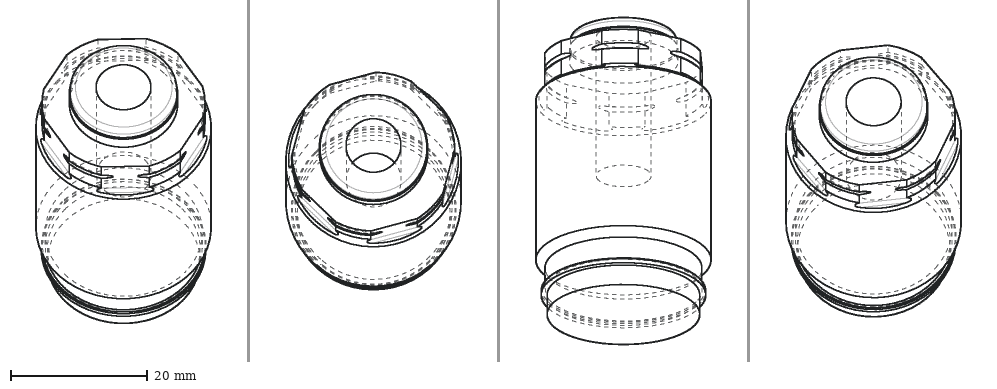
import cadquery as cq

total_height = 44.3
body_radius = 12.875

spigot_radius = 11.2
neck_radius = 11.52
ring_radius = 12.1
ring_bottom = 3.1
ring_top = 3.95
ring_edge_chamfer = 0.18
neck_top = 7.45
body_bottom = 8.7

body_top = 34.1
collar_bottom = 35.0
collar_top = 40.38
collar_radius = 11.95
flat_distance = 11.45
flat_count = 6
nozzle_radius = 7.98
nozzle_tip_radius = 7.85
nozzle_taper_bottom = 42.4
nozzle_taper_top = 42.65
nozzle_round = 0.75
bore_radius = 4.05
bore_depth = 22.15

seat_height = 34.53
seat_fillet = 0.5
groove_height = 37.85
groove_radius = 0.4


def turned_body():
    """Solid of revolution, profile given as (radius, height)."""
    profile = (
        cq.Workplane("XZ")
        .moveTo(0, 0)
        .lineTo(spigot_radius, 0)
        .lineTo(spigot_radius, ring_bottom)
        .lineTo(ring_radius, ring_bottom)
        .lineTo(ring_radius, ring_top - ring_edge_chamfer)
        .lineTo(ring_radius - ring_edge_chamfer, ring_top)
        .lineTo(neck_radius, ring_top)
        .lineTo(neck_radius, neck_top)
        .lineTo(body_radius, body_bottom)
        .lineTo(body_radius, body_top)
        .lineTo(collar_radius, collar_bottom)
        .lineTo(collar_radius, collar_top)
        .lineTo(nozzle_radius, collar_top)
        .lineTo(nozzle_radius, nozzle_taper_bottom)
        .lineTo(nozzle_tip_radius, nozzle_taper_top)
        .lineTo(nozzle_tip_radius, total_height)
        .lineTo(0, total_height)
        .close()
    )
    body = profile.revolve(360, (0, 0, 0), (0, 1, 0))
    return body.faces(">Z").edges().fillet(nozzle_round)


def flat_cutter():
    """Block that mills the +Y flat, with a rounded edge where wall meets seat."""
    cutter = cq.Workplane("XY").box(
        2 * body_radius,
        body_radius,
        collar_top - seat_height,
        centered=(True, False, False),
    )
    cutter = cutter.edges("<Y and <Z").fillet(seat_fillet)
    return cutter.translate((0, flat_distance, seat_height))


def cut_flats(part):
    for index in range(flat_count):
        angle = index * 360 / flat_count
        part = part.cut(flat_cutter().rotate((0, 0, 0), (0, 0, 1), angle))
    return part


def cut_collar_groove(part):
    """Round-bottomed ring groove, interrupted by the flats."""
    groove = (
        cq.Workplane("XZ")
        .center(collar_radius, groove_height)
        .circle(groove_radius)
        .revolve(360, (-collar_radius, 0, 0), (-collar_radius, 1, 0))
    )
    return part.cut(groove)


def cut_bore(part):
    """Blind bore down from the nozzle tip."""
    bore = cq.Workplane("XY").workplane(offset=total_height).circle(bore_radius).extrude(-bore_depth)
    return part.cut(bore)


result = cut_bore(cut_collar_groove(cut_flats(turned_body())))